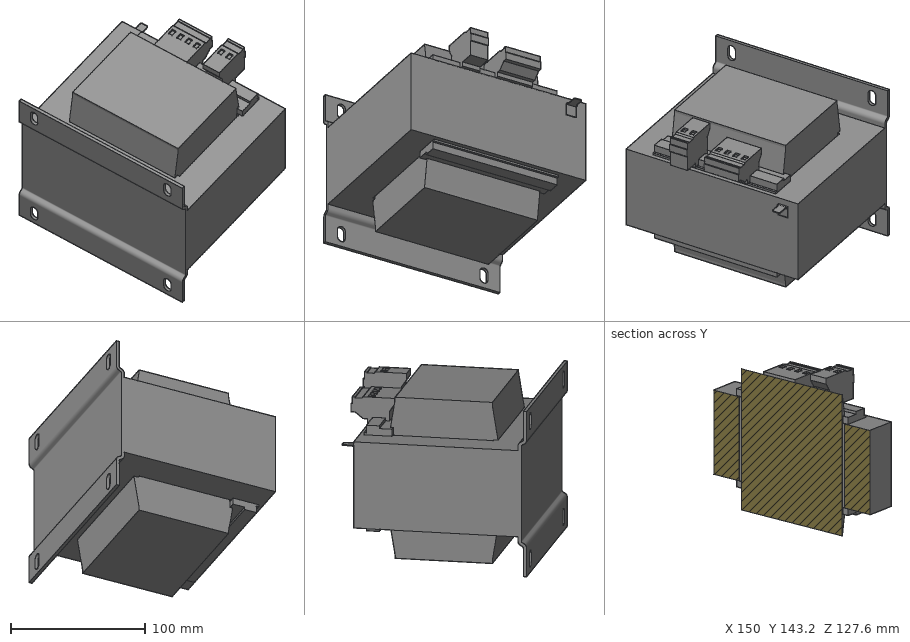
import cadquery as cq
import math


width = 150.0
plate_height = 127.6
sheet = 2.5
joggle_offset = 4.0
joggle_start = 36.6
bend_angle = math.radians(60)
bend_inner_radius = 1.0
slot_width = 6.6
slot_length = 12.9
slot_x = 61.2
slot_z = 53.1

core_front = joggle_offset + sheet
core_back = 131.8
core_half_height = 33.3
window_width = 100.5
window_front = 30.9
window_back = 106.5

coil_width = 96.9
coil_half_height = 62.2
coil_middle_y = (window_front + window_back) / 2
coil_half_top = 37.0
coil_half_base = 41.4
coil_rim = 2.2

rail_width = 106.8
rail_front = 107.1
rail_step = 116.7
rail_back = 126.6
rail_lip_back = 128.4
rail_low = 38.7
rail_high = 40.8
rail_lip = 35.0

block_width = 15.0
low_block_top = 56.2
high_block_top = 63.8
low_block_starts = (-2 * block_width, -block_width)
high_block_start = block_width
block_front = 110.1
block_waist_front = 113.8
block_back = 142.4
block_bump_back = 143.2
block_foot_back = 130.6
block_base = 39.3
foot_base = 35.7
undercut_start = 140.0
undercut_end = 134.0
groove_front = 133.8
groove_floor_front = 135.0
ridge_front = 140.2
groove_depth = 1.2
ridge_drop = 0.6
bump_height = 6.3
bump_bottom_drop = 12.2
waist_start_drop = 4.6
waist_end_drop = 10.4
pocket_size = (3.5, 5.0)
pocket_y = 128.1
pocket_depth = 1.5
pocket_spacing = block_width / 2

tab_x = -62.2
tab_width = 6.6
tab_base_width = 8.4
tab_base_back = 134.4
tab_tip = 142.8
tab_chamfer = 0.9
tab_sheet = 0.8
tab_top = 28.2
tab_leg_bottom = 18.6


def box(x_range, y_range, z_range):
    """Box between the given limits on each axis."""
    (x0, x1), (y0, y1), (z0, z1) = x_range, y_range, z_range
    return cq.Workplane("XY").box(x1 - x0, y1 - y0, z1 - z0, centered=False).translate((x0, y0, z0))


def centred(size):
    """Limits of a length centred on zero."""
    return (-size / 2, size / 2)


def extrude_along_x(profile, x_range):
    """Extrude a closed YZ profile between two X positions."""
    return profile.extrude(x_range[1] - x_range[0]).translate((x_range[0], 0, 0))


def mirrored_in_z(body):
    """The body together with its mirror image below Z = 0."""
    return body.union(body.mirror("XY"))


def make_plate():
    sine = math.sin(bend_angle)
    cosine = math.cos(bend_angle)
    bend_radius = bend_inner_radius + sheet / 2
    slope_length = (joggle_offset - 2 * bend_radius * (1 - cosine)) / sine
    joggle_height = 2 * bend_radius * sine + slope_length * cosine
    joggle_end = joggle_start + joggle_height
    middle_y = core_front / 2
    middle_z = joggle_start + joggle_height / 2
    foot_top = plate_height / 2

    def slope_corner(along, across):
        """Corner of the straight slope: along is +1 at the foot end, across is +1 on the core side."""
        y = middle_y - along * slope_length / 2 * sine + across * sheet / 2 * cosine
        z = middle_z + along * slope_length / 2 * cosine + across * sheet / 2 * sine
        return (y, z)

    upper_half = (
        cq.Workplane("YZ")
        .moveTo(joggle_offset, 0)
        .lineTo(joggle_offset, joggle_start)
        .tangentArcPoint(slope_corner(-1, -1), relative=False)
        .lineTo(*slope_corner(1, -1))
        .tangentArcPoint((0, joggle_end), relative=False)
        .lineTo(0, foot_top)
        .lineTo(sheet, foot_top)
        .lineTo(sheet, joggle_end)
        .tangentArcPoint(slope_corner(1, 1), relative=False)
        .lineTo(*slope_corner(-1, 1))
        .tangentArcPoint((core_front, joggle_start), relative=False)
        .lineTo(core_front, 0)
        .close()
    )
    plate = mirrored_in_z(extrude_along_x(upper_half, centred(width)))
    slots = (
        cq.Workplane("XZ")
        .pushPoints([(x, z) for x in (-slot_x, slot_x) for z in (-slot_z, slot_z)])
        .slot2D(slot_length, slot_width, 90)
        .extrude(sheet, both=True)
    )
    return plate.cut(slots)


def make_core():
    z_range = centred(2 * core_half_height)
    core = box(centred(width), (core_front, core_back), z_range)
    return core.cut(box(centred(window_width), (window_front, window_back), z_range))


def make_coil():
    filling = box(centred(coil_width), (window_front, window_back), centred(2 * core_half_height))
    half_outline = [
        (coil_half_base, core_half_height),
        (coil_half_top, coil_half_height - coil_rim),
        (coil_half_top, coil_half_height),
    ]
    outline = [(coil_middle_y + y, z) for y, z in half_outline]
    outline += [(coil_middle_y - y, z) for y, z in reversed(half_outline)]
    head = extrude_along_x(cq.Workplane("YZ").polyline(outline).close(), centred(coil_width))
    return filling.union(mirrored_in_z(head))


def make_rails():
    outline = [
        (rail_front, core_half_height),
        (rail_front, rail_low),
        (rail_step, rail_low),
        (rail_step, rail_high),
        (rail_back, rail_high),
        (rail_back, rail_lip),
        (rail_lip_back, rail_lip),
        (rail_lip_back, core_half_height),
    ]
    rail = extrude_along_x(cq.Workplane("YZ").polyline(outline).close(), centred(rail_width))
    return mirrored_in_z(rail)


def make_block(x_start, top, undercut):
    """Terminal block on the upper rail; the back below its bump is sloped if undercut, else straight."""
    groove_floor = top - groove_depth
    ridge_top = top - ridge_drop
    bump_bottom = top - bump_bottom_drop
    bump_top = bump_bottom + bump_height
    if undercut:
        lower_back = [(undercut_start, bump_bottom), (undercut_end, block_base)]
    else:
        lower_back = [(block_back, bump_bottom), (block_back, block_base)]
    outline = [
        (block_front, top),
        (groove_front, top),
        (groove_floor_front, groove_floor),
        (ridge_front, groove_floor),
        (ridge_front, ridge_top),
        (block_back, ridge_top),
        (block_back, bump_top),
        (block_bump_back, bump_top),
        (block_bump_back, bump_bottom),
        *lower_back,
        (block_foot_back, block_base),
        (block_foot_back, foot_base),
        (rail_back, foot_base),
        (rail_back, rail_low),
        (block_waist_front, rail_low),
        (block_waist_front, top - waist_end_drop),
        (block_front, top - waist_start_drop),
    ]
    x_range = (x_start, x_start + block_width)
    block = extrude_along_x(cq.Workplane("YZ").polyline(outline).close(), x_range)
    middle_x = x_start + block_width / 2
    pockets = (
        cq.Workplane("XY", origin=(middle_x, pocket_y, top - pocket_depth))
        .pushPoints([(side * pocket_spacing / 2, 0) for side in (-1, 1)])
        .rect(*pocket_size)
        .extrude(pocket_depth)
    )
    return block.cut(pockets)


def make_earth_tab():
    blade_z = (tab_top - tab_sheet, tab_top)
    base_x = (tab_x - tab_base_width / 2, tab_x + tab_base_width / 2)
    blade_x = (tab_x - tab_width / 2, tab_x + tab_width / 2)
    leg = box(base_x, (core_back, core_back + tab_sheet), (tab_leg_bottom, tab_top))
    base = box(base_x, (core_back, tab_base_back), blade_z)
    blade = box(blade_x, (core_back, tab_tip), blade_z).edges("|Z and >Y").chamfer(tab_chamfer)
    return leg.union(base).union(blade)


result = make_plate().union(make_core()).union(make_coil()).union(make_rails())
for low_block_start in low_block_starts:
    result = result.union(make_block(low_block_start, low_block_top, undercut=True))
result = result.union(make_block(high_block_start, high_block_top, undercut=False))
result = result.union(make_earth_tab())